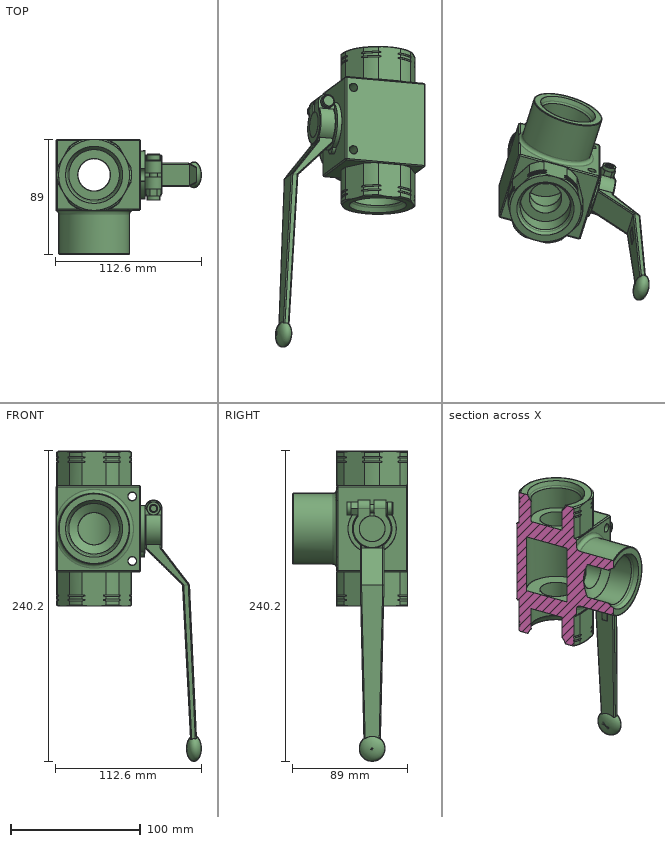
import cadquery as cq
import math


BLOCK_LEFT = -29.5
BLOCK_RIGHT = 36.0
BLOCK_DEPTH = 55.0
BLOCK_HEIGHT = 67.0
BLOCK_CHAMFER = 1.0

PORT_END_Z = 60.0
HEX_ACROSS_FLATS = BLOCK_DEPTH
HEX_ROUND_RADIUS = 29.0
HEX_END_RADIUS = HEX_ACROSS_FLATS / 2
HEX_END_CHAMFER_HEIGHT = 0.8
GROOVE_DEPTHS = (4.8, 8.2)
GROOVE_RADIUS = 0.6

SIDE_PORT_LENGTH = 61.5
SIDE_PORT_RADIUS = 55.0 / 2
SIDE_PORT_CHAMFER = 0.5
COLLAR_FILLET = 3.0

FLOW_RADIUS = 25.0 / 2
MOUTH_RADIUS = 44.2 / 2
MOUTH_FLOOR_RADIUS = 41.2 / 2
MOUTH_DEPTH = 3.5
THREAD_BORE_RADIUS = 39.2 / 2
THREAD_CHAMFER_HEIGHT = 1.5
END_BORE_DEPTH = 22.2
SIDE_BORE_DEPTH = 24.0
DRILL_POINT_ANGLE = 118.0
SIDE_CONE_LENGTH = (THREAD_BORE_RADIUS - FLOW_RADIUS) / math.tan(math.radians(DRILL_POINT_ANGLE / 2))

CHAMBER_RADIUS = 46.0 / 2
CHAMBER_HEIGHT = 46.0

MOUNT_HOLE_DIAMETER = 6.5
MOUNT_HOLE_X = 29.5
MOUNT_HOLE_Z = 25.0

FLANGE_RADIUS = 18.7
FLANGE_THICKNESS = 3.5
FLANGE_NOTCH_RADIUS = 5.0
STOP_PIN_RADIUS = 5.0
STOP_PIN_HEIGHT = 2.85
STOP_Z = 17.0
STEM_RADIUS = 10.0

HUB_START = BLOCK_RIGHT + FLANGE_THICKNESS
HUB_LENGTH = 13.0
HUB_END = HUB_START + HUB_LENGTH
HUB_RADIUS = 15.3
HUB_CHAMFER = 0.7
EAR_HALF_WIDTH = 10.9
EAR_RADIUS = HUB_LENGTH / 2
CLAMP_X = HUB_START + HUB_LENGTH / 2
CLAMP_Z = 15.7
CLAMP_GAP = 3.0

SHANK_RADIUS = 6.0 / 2
HEAD_RADIUS = 10.0 / 2
HEAD_END_Y = 16.3
HEAD_CHAMFER = 0.8
NUT_ACROSS_FLATS = 10.0
NUT_END_Y = -16.5
BOLT_TIP_Y = -19.5
SOCKET_RADIUS = 6.25 / 2
SOCKET_DEPTH = 1.0
SOCKET_BORE_RADIUS = 4.92 / 2
SOCKET_BORE_DEPTH = 3.0

LEVER_TOP_Z = -11.0
BEND_Z = -15.0
BEND_LEFT_X = HUB_START
BEND_RIGHT_INSET = 0.4
BEND_RIGHT_X = HUB_END - BEND_RIGHT_INSET
KNEE_Z = -43.4
LEVER_LOW_Z = -164.0
KNEE_LEFT_X = 68.4
KNEE_RIGHT_X = 73.9
LOW_LEFT_X = 74.7
LOW_RIGHT_X = 79.4
LEVER_HALF_WIDTH = 9.2
LEVER_LOW_HALF_WIDTH = 6.4
LEVER_CHAMFER = 1.0
LABEL_WIDTH = 4.8
LABEL_TOP_Z = -55.0
LABEL_LOW_Z = -79.0
LABEL_DEPTH = 0.4

KNOB_RADIUS = 10.0
KNOB_HALF_THICKNESS = 5.8
KNOB_X = 77.3
KNOB_Z = -170.2


def x_cylinder(radius, start, length, z=0.0):
    """Cylinder along +X that begins at x = start."""
    return cq.Workplane("YZ", origin=(start, 0, z)).circle(radius).extrude(length)


def clamp_cylinder(radius, start_y, end_y):
    """Cylinder on the clamp bolt axis between two Y positions."""
    plane = cq.Workplane("XZ", origin=(CLAMP_X, start_y, CLAMP_Z))
    return plane.circle(radius).extrude(start_y - end_y)


def make_block():
    width = BLOCK_RIGHT - BLOCK_LEFT
    block = cq.Workplane("XY").box(width, BLOCK_DEPTH, BLOCK_HEIGHT)
    block = block.edges().chamfer(BLOCK_CHAMFER)
    return block.translate(((BLOCK_LEFT + BLOCK_RIGHT) / 2, 0, 0))


def make_hex_ports():
    """Hexagon bar with rounded corners, chamfered ends and grooves round the corners."""
    corner_diameter = HEX_ACROSS_FLATS / math.cos(math.pi / 6)
    bar = cq.Workplane("XY").polygon(6, corner_diameter).extrude(PORT_END_Z, both=True)
    block_space = cq.Workplane("XY").box(corner_diameter, corner_diameter, BLOCK_HEIGHT)
    chamfer_z = PORT_END_Z - HEX_END_CHAMFER_HEIGHT
    envelope = (
        cq.Workplane("XZ")
        .moveTo(0, -PORT_END_Z)
        .lineTo(HEX_END_RADIUS, -PORT_END_Z)
        .lineTo(HEX_ROUND_RADIUS, -chamfer_z)
        .lineTo(HEX_ROUND_RADIUS, chamfer_z)
        .lineTo(HEX_END_RADIUS, PORT_END_Z)
        .lineTo(0, PORT_END_Z)
        .close()
        .revolve(360, (0, 0, 0), (0, 1, 0))
    )
    ports = bar.intersect(envelope).cut(block_space)
    for depth in GROOVE_DEPTHS:
        for side in (1, -1):
            groove_z = side * (PORT_END_Z - depth)
            groove = cq.Solid.makeTorus(HEX_ROUND_RADIUS, GROOVE_RADIUS, cq.Vector(0, 0, groove_z))
            ports = ports.cut(cq.Workplane(groove))
    return ports


def make_side_port():
    """Round port along -Y with a filleted collar, trimmed flush with the left block face."""
    base_y = -BLOCK_DEPTH / 2
    collar_radius = SIDE_PORT_RADIUS + COLLAR_FILLET
    fillet_middle = COLLAR_FILLET * (1 - math.sin(math.pi / 4))
    port = (
        cq.Workplane("XY")
        .lineTo(collar_radius, 0)
        .lineTo(collar_radius, base_y)
        .threePointArc(
            (SIDE_PORT_RADIUS + fillet_middle, base_y - fillet_middle),
            (SIDE_PORT_RADIUS, base_y - COLLAR_FILLET),
        )
        .lineTo(SIDE_PORT_RADIUS, -SIDE_PORT_LENGTH + SIDE_PORT_CHAMFER)
        .lineTo(SIDE_PORT_RADIUS - SIDE_PORT_CHAMFER, -SIDE_PORT_LENGTH)
        .lineTo(0, -SIDE_PORT_LENGTH)
        .close()
        .revolve(360, (0, 0, 0), (0, 1, 0))
    )
    keep = cq.Workplane("XY").box(
        BLOCK_RIGHT - BLOCK_LEFT, 2 * SIDE_PORT_LENGTH, BLOCK_HEIGHT
    )
    return port.intersect(keep.translate(((BLOCK_LEFT + BLOCK_RIGHT) / 2, 0, 0)))


def make_port_bore(port_length, bore_depth, cone_length):
    """Bore with a tapered mouth along +Z from the origin to the mouth at z = port_length."""
    mouth_floor = port_length - MOUTH_DEPTH
    bore_floor = port_length - bore_depth
    return (
        cq.Workplane("XZ")
        .lineTo(FLOW_RADIUS, 0)
        .lineTo(FLOW_RADIUS, bore_floor - cone_length)
        .lineTo(THREAD_BORE_RADIUS, bore_floor)
        .lineTo(THREAD_BORE_RADIUS, mouth_floor - THREAD_CHAMFER_HEIGHT)
        .lineTo(MOUTH_FLOOR_RADIUS, mouth_floor)
        .lineTo(MOUTH_RADIUS, port_length)
        .lineTo(0, port_length)
        .close()
        .revolve(360, (0, 0, 0), (0, 1, 0))
    )


def make_mount_holes():
    return (
        cq.Workplane("XZ")
        .pushPoints([(MOUNT_HOLE_X, MOUNT_HOLE_Z), (MOUNT_HOLE_X, -MOUNT_HOLE_Z)])
        .circle(MOUNT_HOLE_DIAMETER / 2)
        .extrude(BLOCK_DEPTH, both=True)
    )


def make_stem():
    """Notched flange, stop pin and the stem that the handle clamps onto."""
    flange = x_cylinder(FLANGE_RADIUS, BLOCK_RIGHT, FLANGE_THICKNESS)
    notch = x_cylinder(FLANGE_NOTCH_RADIUS, BLOCK_RIGHT, FLANGE_THICKNESS, STOP_Z)
    stop_pin = x_cylinder(STOP_PIN_RADIUS, BLOCK_RIGHT, STOP_PIN_HEIGHT, -STOP_Z)
    stem = x_cylinder(STEM_RADIUS, BLOCK_RIGHT, HUB_END - BLOCK_RIGHT)
    return flange.cut(notch).union(stop_pin).union(stem)


def make_housing():
    housing = make_block().union(make_hex_ports()).union(make_side_port()).union(make_stem())
    end_bore = make_port_bore(PORT_END_Z, END_BORE_DEPTH, 0)
    side_bore = make_port_bore(SIDE_PORT_LENGTH, SIDE_BORE_DEPTH, SIDE_CONE_LENGTH)
    origin = (0, 0, 0)
    x_axis = (1, 0, 0)
    housing = housing.cut(end_bore).cut(end_bore.rotate(origin, x_axis, 180))
    housing = housing.cut(side_bore.rotate(origin, x_axis, 90))
    chamber = cq.Workplane("XY").circle(CHAMBER_RADIUS).extrude(CHAMBER_HEIGHT / 2, both=True)
    return housing.cut(chamber).cut(make_mount_holes())


def make_hub():
    """Clamp ring with two ears on top, split by a gap that opens into the stem hole."""
    hub = x_cylinder(HUB_RADIUS, HUB_START, HUB_LENGTH).edges().chamfer(HUB_CHAMFER)
    ears = clamp_cylinder(EAR_RADIUS, EAR_HALF_WIDTH, -EAR_HALF_WIDTH)
    ear_base = cq.Workplane("XY").box(
        HUB_LENGTH, 2 * EAR_HALF_WIDTH, CLAMP_Z, centered=(True, True, False)
    )
    hub = hub.union(ears).union(ear_base.translate((CLAMP_X, 0, 0)))
    gap = cq.Workplane("XY").box(
        HUB_LENGTH, CLAMP_GAP, CLAMP_Z + EAR_RADIUS, centered=(True, True, False)
    )
    return hub.cut(gap.translate((CLAMP_X, 0, 0)))


def make_clamp_bolt():
    """Bolt with a round head at +Y, a hexagon at -Y and a stepped round socket in its tip."""
    head = clamp_cylinder(HEAD_RADIUS, HEAD_END_Y, EAR_HALF_WIDTH)
    bolt = head.edges().chamfer(HEAD_CHAMFER)
    bolt = bolt.union(clamp_cylinder(SHANK_RADIUS, EAR_HALF_WIDTH, -EAR_HALF_WIDTH))
    nut = (
        cq.Workplane("XZ", origin=(CLAMP_X, -EAR_HALF_WIDTH, CLAMP_Z))
        .polygon(6, NUT_ACROSS_FLATS / math.cos(math.pi / 6))
        .extrude(-EAR_HALF_WIDTH - NUT_END_Y)
    )
    bolt = bolt.union(nut).union(clamp_cylinder(HEAD_RADIUS, NUT_END_Y, BOLT_TIP_Y))
    bolt = bolt.cut(clamp_cylinder(SOCKET_RADIUS, BOLT_TIP_Y + SOCKET_DEPTH, BOLT_TIP_Y))
    return bolt.cut(clamp_cylinder(SOCKET_BORE_RADIUS, BOLT_TIP_Y + SOCKET_BORE_DEPTH, BOLT_TIP_Y))


def lever_section(z, left_x, right_x, half_width):
    """Chamfered rectangle of the lever at one height."""
    inner_width = half_width - LEVER_CHAMFER
    corners = [
        (left_x, -inner_width),
        (left_x + LEVER_CHAMFER, -half_width),
        (right_x - LEVER_CHAMFER, -half_width),
        (right_x, -inner_width),
        (right_x, inner_width),
        (right_x - LEVER_CHAMFER, half_width),
        (left_x + LEVER_CHAMFER, half_width),
        (left_x, inner_width),
    ]
    return cq.Wire.makePolygon([cq.Vector(x, y, z) for x, y in corners], close=True)


def make_lever():
    """Bent lever: short root under the hub, slanted run to the knee, tapered run to the knob."""
    top = lever_section(LEVER_TOP_Z, BEND_LEFT_X, BEND_RIGHT_X, LEVER_HALF_WIDTH)
    bend = lever_section(BEND_Z, BEND_LEFT_X, BEND_RIGHT_X, LEVER_HALF_WIDTH)
    knee = lever_section(KNEE_Z, KNEE_LEFT_X, KNEE_RIGHT_X, LEVER_HALF_WIDTH)
    low = lever_section(LEVER_LOW_Z, LOW_LEFT_X, LOW_RIGHT_X, LEVER_LOW_HALF_WIDTH)
    root = cq.Workplane(cq.Solid.makeLoft([top, bend], True))
    slanted_run = cq.Workplane(cq.Solid.makeLoft([bend, knee], True))
    straight_run = cq.Workplane(cq.Solid.makeLoft([knee, low], True))
    return root.union(slanted_run).union(straight_run)


def make_label_recess():
    """Shallow label recess along the left face of the straight lever run."""
    slope = (LOW_LEFT_X - KNEE_LEFT_X) / (LEVER_LOW_Z - KNEE_Z)
    top_x = KNEE_LEFT_X + slope * (LABEL_TOP_Z - KNEE_Z)
    low_x = KNEE_LEFT_X + slope * (LABEL_LOW_Z - KNEE_Z)
    return (
        cq.Workplane("XZ")
        .polyline([
            (top_x - LABEL_DEPTH, LABEL_TOP_Z),
            (top_x + LABEL_DEPTH, LABEL_TOP_Z),
            (low_x + LABEL_DEPTH, LABEL_LOW_Z),
            (low_x - LABEL_DEPTH, LABEL_LOW_Z),
        ])
        .close()
        .extrude(LABEL_WIDTH / 2, both=True)
    )


def make_knob():
    """Flattened ball, turned about an axis along X."""
    return (
        cq.Workplane("XZ", origin=(KNOB_X, 0, KNOB_Z))
        .ellipseArc(KNOB_HALF_THICKNESS, KNOB_RADIUS, 0, 180, startAtCurrent=False)
        .close()
        .revolve(360, (0, 0, 0), (1, 0, 0))
    )


def make_handle():
    handle = make_hub().union(make_lever().cut(make_label_recess())).union(make_knob())
    handle = handle.union(make_clamp_bolt())
    stem_hole = x_cylinder(STEM_RADIUS, HUB_START, HUB_LENGTH)
    return handle.cut(stem_hole)


housing = make_housing()
handle = make_handle()

result = cq.Compound.makeCompound([housing.solids().val(), handle.solids().val()])